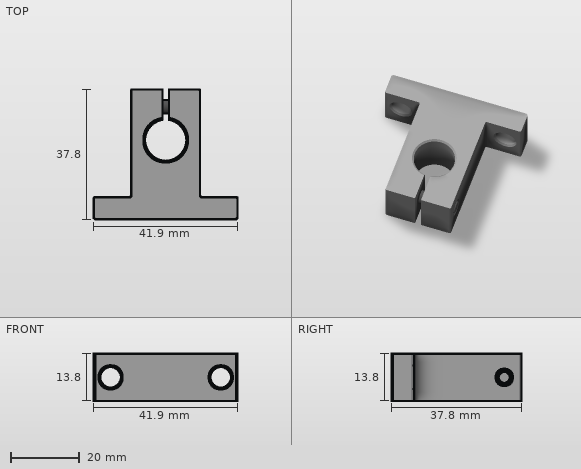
import cadquery as cq

base_width = 41.85
depth = 37.8
height = 13.8
base_thickness = 6.45
stem_width = 20.1
outer_fillet = 0.45
front_chamfer = 0.45
root_fillet = 0.45

bore_diameter = 12.0
bore_y = 23.0
slot_width = 1.85

mount_diameter = 6.03
mount_spacing = 32.0

screw_diameter = 4.0
screw_y = depth - 5.05
screw_chamfer = 0.38
hole_chamfer = 0.5

mid_z = height / 2


def chamfered_cylinder(plane, diameter, length, end_growth):
    """Cylinder centred on the plane; its ends flare (positive) or taper (negative) at 45 degrees."""
    radius = diameter / 2
    half_length = length / 2
    shoulder = half_length - abs(end_growth)
    profile = [
        (0, -half_length),
        (radius + end_growth, -half_length),
        (radius, -shoulder),
        (radius, shoulder),
        (radius + end_growth, half_length),
        (0, half_length),
    ]
    solid = cq.Workplane("XY").polyline(profile).close().revolve(360, (0, 0, 0), (0, 1, 0))
    upright = solid.rotate((0, 0, 0), (1, 0, 0), 90)
    return cq.Workplane("XY").newObject([upright.val().moved(cq.Location(plane))])


def make_blank():
    """T-shaped block: chamfered mounting-face corners, other corners and stem roots rounded."""
    base = cq.Workplane("XY").box(base_width, base_thickness, height, centered=(True, False, False))
    base = base.edges("|Z and <Y").chamfer(front_chamfer)
    base = base.edges("|Z and >Y").fillet(outer_fillet)

    stem_length = depth - base_thickness
    stem = cq.Workplane("XY").box(stem_width, stem_length, height, centered=(True, False, False))
    stem = stem.translate((0, base_thickness, 0))
    stem = stem.edges("|Z and >Y").fillet(outer_fillet)

    root_box = cq.selectors.BoxSelector(
        (-stem_width / 2 - root_fillet, base_thickness - root_fillet, 0),
        (stem_width / 2 + root_fillet, base_thickness + root_fillet, height),
    )
    blank = base.union(stem, clean=True)
    return blank.edges("|Z").edges(root_box).fillet(root_fillet)


def make_bore():
    plane = cq.Plane((0, bore_y, mid_z))
    return chamfered_cylinder(plane, bore_diameter, height, hole_chamfer)


def make_slot():
    """Gap from the bore centre out through the free end of the stem."""
    slot = cq.Workplane("XY").box(slot_width, depth - bore_y, height, centered=(True, False, False))
    return slot.translate((0, bore_y, 0))


def make_mount_hole(x):
    plane = cq.Plane((x, base_thickness / 2, mid_z), xDir=(1, 0, 0), normal=(0, 1, 0))
    return chamfered_cylinder(plane, mount_diameter, base_thickness, hole_chamfer)


def make_screw_shape(end_growth):
    """Cylinder on the screw axis, as long as the stem is wide."""
    plane = cq.Plane((0, screw_y, mid_z), xDir=(0, 1, 0), normal=(1, 0, 0))
    return chamfered_cylinder(plane, screw_diameter, stem_width, end_growth)


def make_housing():
    housing = make_blank().cut(make_bore()).cut(make_slot())
    for x in (-mount_spacing / 2, mount_spacing / 2):
        housing = housing.cut(make_mount_hole(x))
    return housing.cut(make_screw_shape(hole_chamfer)).solids()


def make_screw():
    return make_screw_shape(-screw_chamfer)


housing = make_housing()
screw = make_screw()

result = cq.Compound.makeCompound([housing.val(), screw.val()])